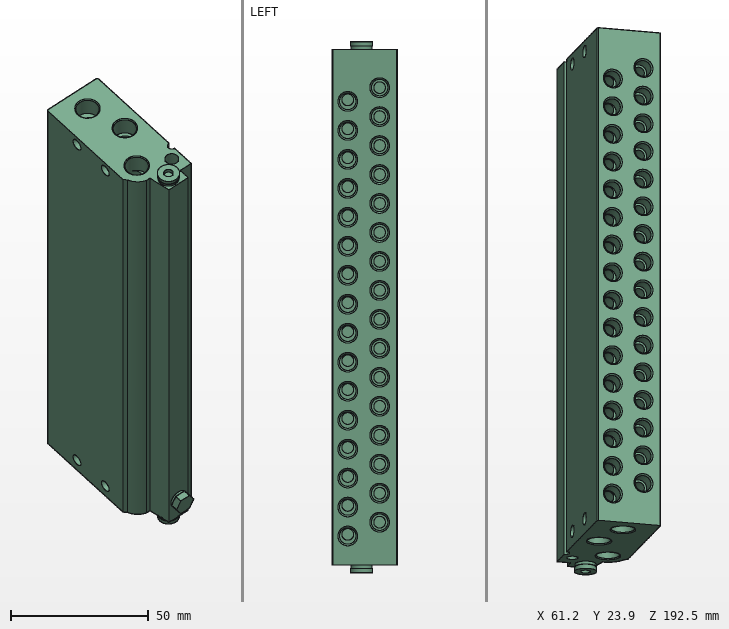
import cadquery as cq
import math

total_height = 192.5
block_height = 187.0
block_depth = 23.9
port_face_edge_chamfer = 0.4
front_face_end_x = 43.0
corner_arc_start = (44.0, 1.2)
corner_arc_end = (48.7, 6.4)
rail_root_y = 7.9
corner_arc_radius = 7.7
rail_front_y = 9.6
rail_back_y = 18.7
rail_side_x = 57.4
step_x = 53.0
groove_center_x = 42.0
groove_radius = 1.5

mouth_diameter = 8.5
mouth_depth = 7.7
mouth_chamfer = 0.4
bore_diameter = 6.0
passages = [
    ((8.9, 11.7), (10.0, 12.1)),
    ((24.6, 16.2), (24.8, 16.2)),
    ((41.0, 8.0), (39.7, 8.0)),
]

pilot_center = (46.8, 19.8)
pilot_mouth_diameter = 5.0
pilot_mouth_depth = 7.7
pilot_bore_diameter = 4.0

mount_hole_diameter = 4.5
mount_hole_x = (17.0, 33.0)
mount_hole_z = (5.5, block_height - 4.0)

ports_per_row = 16
port_row_length = 157.5
port_pitch = port_row_length / (ports_per_row - 1)
port_mouth_diameter = 7.1
port_diameter = 6.0
port_chamfer = (port_mouth_diameter - port_diameter) / 2
port_depth = 6.2
port_bore_diameter = 4.2
port_bore_end_x = 15.4
port_rows = [
    (18.0, 10.5, 0.5),
    (6.5, 15.5, 0),
]

plug_center = (step_x, 13.0)
plug_head_diameter = 8.0
plug_collar_diameter = 7.7
plug_collar_height = 1.2
plug_height = (total_height - block_height) / 2
plug_socket_diameter = 3.5
plug_socket_depth = 1.5

screw_y = 14.0
screw_z = 10.2
screw_length = 3.8
screw_neck_length = 1.0
screw_across_flats = 7.1
screw_across_corners = screw_across_flats / math.cos(math.pi / 6)


def cylinder(diameter, length, start, direction):
    return cq.Solid.makeCylinder(diameter / 2, length, cq.Vector(*start), cq.Vector(*direction))


def chamfer_cone(mouth, bottom, depth, start, direction):
    """Cone that opens a hole of diameter `bottom` out to diameter `mouth` at its start."""
    return cq.Solid.makeCone(mouth / 2, bottom / 2, depth, cq.Vector(*start), cq.Vector(*direction))


def block_blank():
    outline = (
        cq.Workplane("XY")
        .lineTo(front_face_end_x, 0)
        .lineTo(*corner_arc_start)
        .radiusArc(corner_arc_end, -corner_arc_radius)
        .lineTo(corner_arc_end[0], rail_root_y)
        .lineTo(rail_side_x, rail_front_y)
        .lineTo(rail_side_x, rail_back_y)
        .lineTo(step_x, rail_back_y)
        .lineTo(step_x, block_depth)
        .lineTo(0, block_depth)
        .close()
    )
    blank = outline.extrude(block_height)
    blank = blank.faces("<X").edges("|Z").chamfer(port_face_edge_chamfer)
    groove = cylinder(2 * groove_radius, block_height, (groove_center_x, block_depth, 0), (0, 0, 1))
    return blank.cut(cq.Workplane(groove))


def passage_cutters():
    chamfer_diameter = mouth_diameter + 2 * mouth_chamfer
    cutters = []
    for mouth, bore in passages:
        cutters.append(cylinder(bore_diameter, block_height, (*bore, 0), (0, 0, 1)))
        for end_z, inward in ((0, 1), (block_height, -1)):
            start = (*mouth, end_z)
            axis = (0, 0, inward)
            cutters.append(cylinder(mouth_diameter, mouth_depth, start, axis))
            cutters.append(chamfer_cone(chamfer_diameter, mouth_diameter, mouth_chamfer, start, axis))
    return cutters


def pilot_cutters():
    return [
        cylinder(pilot_bore_diameter, block_height, (*pilot_center, 0), (0, 0, 1)),
        cylinder(pilot_mouth_diameter, pilot_mouth_depth, (*pilot_center, block_height), (0, 0, -1)),
    ]


def mount_hole_cutters():
    return [
        cylinder(mount_hole_diameter, block_depth, (x, 0, z), (0, 1, 0))
        for x in mount_hole_x
        for z in mount_hole_z
    ]


def port_cutters():
    axis = (1, 0, 0)
    cutters = []
    for y, lowest_z, bore_rise in port_rows:
        for i in range(ports_per_row):
            z = lowest_z + i * port_pitch
            cutters.append(chamfer_cone(port_mouth_diameter, port_diameter, port_chamfer, (0, y, z), axis))
            cutters.append(cylinder(port_diameter, port_depth, (0, y, z), axis))
            cutters.append(cylinder(port_bore_diameter, port_bore_end_x, (0, y, z + bore_rise), axis))
    return cutters


def make_block():
    cutters = passage_cutters() + pilot_cutters() + mount_hole_cutters() + port_cutters()
    return block_blank().val().cut(*cutters)


def make_plug(face_z, outward):
    """Plug seated on the block end at height `face_z`; `outward` is +1 up or -1 down."""
    axis = (0, 0, outward)
    head_z = face_z + outward * plug_collar_height
    top_z = face_z + outward * plug_height
    collar = cylinder(plug_collar_diameter, plug_collar_height, (*plug_center, face_z), axis)
    head = cylinder(plug_head_diameter, plug_height - plug_collar_height, (*plug_center, head_z), axis)
    socket = cylinder(plug_socket_diameter, plug_socket_depth, (*plug_center, top_z), (0, 0, -outward))
    return cq.Workplane(collar).union(cq.Workplane(head)).cut(cq.Workplane(socket)).val()


def make_side_screw():
    seat = cq.Workplane("YZ", origin=(rail_side_x, screw_y, screw_z))
    neck = seat.circle(screw_across_flats / 2).extrude(screw_neck_length)
    head = (
        seat.workplane(offset=screw_neck_length)
        .polygon(6, screw_across_corners)
        .extrude(screw_length - screw_neck_length)
    )
    return neck.union(head).val()


block = make_block()
plugs = [make_plug(face_z, outward) for face_z, outward in ((block_height, 1), (0, -1))]
side_screw = make_side_screw()

result = cq.Compound.makeCompound([*block.Solids(), *plugs, side_screw])